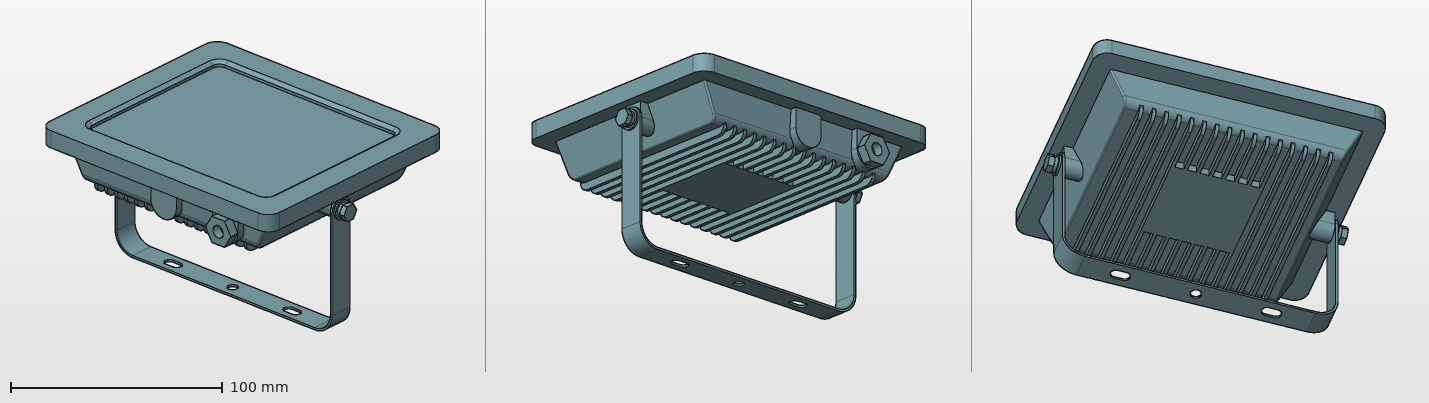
import cadquery as cq
import math

OVERLAP = 0.7

FRAME_LENGTH = 145.6
FRAME_WIDTH = 125.0
FRAME_HEIGHT = 9.1
FRAME_CORNER_RADIUS = 7.2
FRAME_BORDER = 13.5
WINDOW_CORNER_RADIUS = 6.4
BEVEL_WIDTH = 2.4
BEVEL_DEPTH = 1.5
WINDOW_DEPTH = 3.0

HOUSING_BOTTOM = -27.6
HOUSING_TOP_LENGTH = 126.2
HOUSING_BOTTOM_LENGTH = 108.9
HOUSING_TOP_WIDTH = 105.3
HOUSING_BOTTOM_WIDTH = 102.6
HOUSING_BOTTOM_RADIUS = 4.3
HOUSING_EDGE_RADIUS = 0.9

FIN_COUNT = 16
FIN_ROW_LENGTH = 94.6
FIN_PITCH = FIN_ROW_LENGTH / (FIN_COUNT - 1)
FIN_THICKNESS = 1.8
FIN_ROW_X = -0.6
FIN_WIDTH = 100.9
FIN_BOTTOM = -31.6
FIN_CORNER_RADIUS = 4.5
PAD_FIN_SPAN = 7
PAD_WIDTH = 44.8

FRONT_BOSS_WIDTH = 16.1
FRONT_BOSS_Y = -56.1
FRONT_BOSS_AXIS_Z = -19.2
GLAND_X = 39.1
GLAND_HEX_FLATS = 13.9
GLAND_LENGTH = 5.0
GLAND_HOLE_DIAMETER = 6.4

PIVOT_Y = -7.2
PIVOT_Z = -17.5
BRACKET_BOTTOM = -82.4
BRACKET_LENGTH = 137.5
BRACKET_WIDTH = 12.8
BRACKET_THICKNESS = 1.2
BRACKET_BEND_RADIUS = 11.2
BRACKET_HOLE_DIAMETER = 5.4
SLOT_LENGTH = 9.8
SLOT_X = 37.7

PIVOT_BOSS_WIDTH = 10.9
PIVOT_BOSS_AXIS_Z = -17.0
WASHER_DIAMETER = 10.3
WASHER_THICKNESS = 1.0
BOLT_TIP_X = 74.6
BOLT_HEX_FLATS = 7.9
BOLT_HEX_LENGTH = 3.0


def hex_corner_diameter(flats):
    return flats / math.cos(math.pi / 6)


def make_frame():
    frame = (
        cq.Workplane("XY")
        .box(FRAME_LENGTH, FRAME_WIDTH, FRAME_HEIGHT, centered=(True, True, False))
        .translate((0, 0, -FRAME_HEIGHT))
        .edges("|Z")
        .fillet(FRAME_CORNER_RADIUS)
    )
    opening_length = FRAME_LENGTH - 2 * FRAME_BORDER
    opening_width = FRAME_WIDTH - 2 * FRAME_BORDER
    bevel_angle = math.degrees(math.atan2(BEVEL_WIDTH, BEVEL_DEPTH))
    bevel = (
        cq.Workplane("XY")
        .sketch()
        .rect(opening_length, opening_width)
        .vertices()
        .fillet(WINDOW_CORNER_RADIUS)
        .finalize()
        .extrude(-BEVEL_DEPTH, taper=bevel_angle)
    )
    recess = (
        cq.Workplane("XY")
        .rect(opening_length - 2 * BEVEL_WIDTH, opening_width - 2 * BEVEL_WIDTH)
        .extrude(-WINDOW_DEPTH)
        .edges("|Z")
        .fillet(WINDOW_CORNER_RADIUS - BEVEL_WIDTH)
    )
    return frame.cut(bevel).cut(recess)


def symmetric_trapezoid(plane, top_size, bottom_size, depth):
    """Prism with its top under the frame and its bottom at the housing floor."""
    outline = [
        (-top_size / 2, -FRAME_HEIGHT),
        (top_size / 2, -FRAME_HEIGHT),
        (bottom_size / 2, HOUSING_BOTTOM),
        (-bottom_size / 2, HOUSING_BOTTOM),
    ]
    return cq.Workplane(plane).polyline(outline).close().extrude(depth / 2, both=True)


def make_housing():
    side_profile = symmetric_trapezoid(
        "YZ", HOUSING_TOP_WIDTH, HOUSING_BOTTOM_WIDTH, HOUSING_TOP_LENGTH
    )
    side_profile = side_profile.edges("|X and <Z").fillet(HOUSING_BOTTOM_RADIUS)
    front_profile = symmetric_trapezoid(
        "XZ", HOUSING_TOP_LENGTH, HOUSING_BOTTOM_LENGTH, HOUSING_TOP_WIDTH
    )
    housing = side_profile.intersect(front_profile)
    end_edges = housing.faces("<X or >X").edges("not >Z")
    return end_edges.fillet(HOUSING_EDGE_RADIUS)


def make_fins():
    height = HOUSING_BOTTOM + HOUSING_BOTTOM_RADIUS - FIN_BOTTOM
    fin = (
        cq.Workplane("XY")
        .box(FIN_THICKNESS, FIN_WIDTH, height, centered=(True, True, False))
        .edges("|X and <Z")
        .fillet(FIN_CORNER_RADIUS)
    )
    first_x = FIN_ROW_X - FIN_ROW_LENGTH / 2
    fins_and_pad = (
        cq.Workplane("XY")
        .box(PAD_FIN_SPAN * FIN_PITCH, PAD_WIDTH, height, centered=(True, True, False))
        .translate((FIN_ROW_X, 0, FIN_BOTTOM))
    )
    for index in range(FIN_COUNT):
        fin_x = first_x + index * FIN_PITCH
        fins_and_pad = fins_and_pad.union(fin.translate((fin_x, 0, FIN_BOTTOM)))
    return fins_and_pad


def hanging_tab(plane, width, axis_z, length):
    """Tab that hangs from the frame and ends in a half circle about its axis."""
    radius = width / 2
    return (
        plane
        .moveTo(-radius, -FRAME_HEIGHT + OVERLAP)
        .lineTo(-radius, axis_z)
        .threePointArc((0, axis_z - radius), (radius, axis_z))
        .lineTo(radius, -FRAME_HEIGHT + OVERLAP)
        .close()
        .extrude(length)
    )


def make_front_boss(x):
    plane = cq.Workplane("XZ", origin=(x, FRONT_BOSS_Y, 0))
    flat_floor_edge_y = -(HOUSING_BOTTOM_WIDTH / 2 - HOUSING_BOTTOM_RADIUS)
    length = flat_floor_edge_y - FRONT_BOSS_Y
    return hanging_tab(plane, FRONT_BOSS_WIDTH, FRONT_BOSS_AXIS_Z, -length)


def make_gland():
    return (
        cq.Workplane("XZ", origin=(GLAND_X, FRONT_BOSS_Y + OVERLAP, FRONT_BOSS_AXIS_Z))
        .polygon(6, hex_corner_diameter(GLAND_HEX_FLATS))
        .extrude(GLAND_LENGTH + OVERLAP)
    )


def make_gland_hole():
    return (
        cq.Workplane("XZ", origin=(GLAND_X, FRONT_BOSS_Y, FRONT_BOSS_AXIS_Z))
        .circle(GLAND_HOLE_DIAMETER / 2)
        .extrude(GLAND_LENGTH)
    )


def make_bracket():
    """U-shaped strap with rounded leg ends, a centre hole and two slots."""
    height = PIVOT_Z - BRACKET_BOTTOM
    inner_length = BRACKET_LENGTH - 2 * BRACKET_THICKNESS
    outside = (
        cq.Workplane("XY")
        .box(BRACKET_LENGTH, BRACKET_WIDTH, height, centered=(True, True, False))
        .edges("|Y and <Z")
        .fillet(BRACKET_BEND_RADIUS)
    )
    inside = (
        cq.Workplane("XY")
        .box(inner_length, BRACKET_WIDTH, height, centered=(True, True, False))
        .edges("|Y and <Z")
        .fillet(BRACKET_BEND_RADIUS - BRACKET_THICKNESS)
        .translate((0, 0, BRACKET_THICKNESS))
    )
    inside_ends = (
        cq.Workplane("YZ", origin=(0, 0, height))
        .circle(BRACKET_WIDTH / 2)
        .extrude(inner_length / 2, both=True)
    )
    round_ends = (
        cq.Workplane("YZ", origin=(0, 0, height))
        .circle(BRACKET_WIDTH / 2)
        .extrude(BRACKET_LENGTH / 2, both=True)
        .cut(inside_ends)
    )
    strap = outside.cut(inside).union(round_ends)
    hole = cq.Workplane("XY").circle(BRACKET_HOLE_DIAMETER / 2).extrude(BRACKET_THICKNESS)
    slots = (
        cq.Workplane("XY")
        .pushPoints([(-SLOT_X, 0), (SLOT_X, 0)])
        .slot2D(SLOT_LENGTH, BRACKET_HOLE_DIAMETER)
        .extrude(BRACKET_THICKNESS)
    )
    return strap.cut(hole).cut(slots).translate((0, PIVOT_Y, BRACKET_BOTTOM))


def make_right_pivot():
    """Boss, washer, round collar and hexagon bolt head at the +X end."""
    bracket_face = BRACKET_LENGTH / 2
    boss_start = HOUSING_BOTTOM_LENGTH / 2 - OVERLAP
    boss_plane = cq.Workplane("YZ", origin=(boss_start, PIVOT_Y, 0))
    boss_length = bracket_face - BRACKET_THICKNESS - boss_start
    boss = hanging_tab(boss_plane, PIVOT_BOSS_WIDTH, PIVOT_BOSS_AXIS_Z, boss_length)
    washer = (
        cq.Workplane("YZ", origin=(bracket_face, PIVOT_Y, PIVOT_Z))
        .circle(WASHER_DIAMETER / 2)
        .extrude(WASHER_THICKNESS)
    )
    collar = (
        cq.Workplane("YZ", origin=(bracket_face, PIVOT_Y, PIVOT_Z))
        .circle(BOLT_HEX_FLATS / 2)
        .extrude(BOLT_TIP_X - bracket_face)
    )
    head = (
        cq.Workplane("YZ", origin=(BOLT_TIP_X - BOLT_HEX_LENGTH, PIVOT_Y, PIVOT_Z))
        .polygon(6, hex_corner_diameter(BOLT_HEX_FLATS))
        .extrude(BOLT_HEX_LENGTH)
    )
    return boss.union(washer).union(collar).union(head)


right_pivot = make_right_pivot()
result = (
    make_frame()
    .union(make_housing())
    .union(make_fins())
    .union(make_front_boss(0))
    .union(make_front_boss(GLAND_X))
    .union(make_gland())
    .cut(make_gland_hole())
    .union(make_bracket())
    .union(right_pivot)
    .union(right_pivot.mirror("YZ"))
)